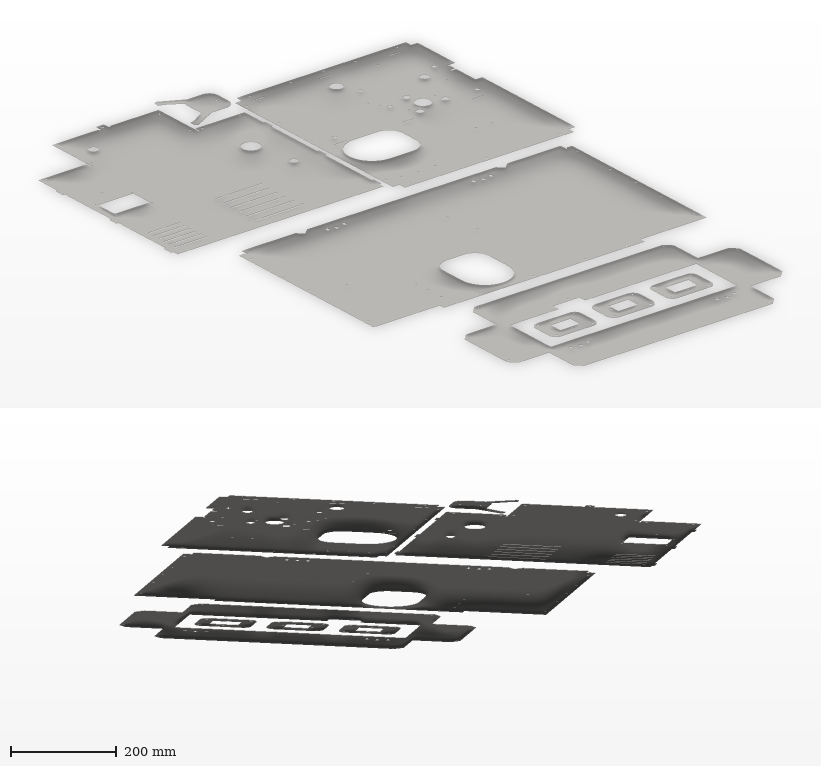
import cadquery as cq

THICKNESS = 1.0
LAYOUT_LENGTH = 1436.89
LAYOUT_DEPTH = 951.57
RIGHT_LIMIT = LAYOUT_LENGTH / 2
LEFT_LIMIT = -RIGHT_LIMIT
BACK_LIMIT = LAYOUT_DEPTH / 2
FRONT_LIMIT = -BACK_LIMIT

SCREW_HOLE = 5.0
RIVET_HOLE = 4.0
PILOT_HOLE = 3.0

HANDLE_WIDTH = 110.0
HANDLE_LENGTH = 146.0
HANDLE_CORNER = 35.0


def sheet(left, right, front, back):
    """Rectangle of sheet between four straight sides."""
    return (
        cq.Workplane("XY")
        .box(right - left, back - front, THICKNESS, centered=False)
        .translate((left, front, 0))
    )


def centered_sheet(x, y, length, depth):
    """Rectangle of sheet around a centre."""
    return sheet(x - length / 2, x + length / 2, y - depth / 2, y + depth / 2)


def polygon(points):
    """Sheet with straight sides through the given points."""
    return cq.Workplane("XY").polyline(points).close().extrude(THICKNESS)


def holes(diameter, centers):
    """Cutters for round holes of one diameter."""
    return cq.Workplane("XY").pushPoints(centers).circle(diameter / 2).extrude(THICKNESS)


def slots(length, width, centers, angle=0):
    """Cutters for round-ended slots of one size."""
    return cq.Workplane("XY").pushPoints(centers).slot2D(length, width, angle).extrude(THICKNESS)


def grid(xs, ys):
    """Every crossing of the given columns and rows."""
    return [(x, y) for x in xs for y in ys]


def handle_opening(tip_x, tip_y, angle):
    """Cutter for the handle opening; its half circle touches the tip and it runs up at angle 0."""
    half = HANDLE_WIDTH / 2
    straight_end = HANDLE_LENGTH - half
    block = sheet(-half, half, 0, straight_end).edges("|Z and >Y").fillet(HANDLE_CORNER)
    opening = block.union(holes(HANDLE_WIDTH, [(0, 0)])).translate((0, half, 0))
    return opening.rotate((0, 0, 0), (0, 0, 1), angle).translate((tip_x, tip_y, 0))


BACK_PANEL_FLANGE = 16.0
BACK_PANEL_LEFT = -621.5
BACK_PANEL_RIGHT = -140.0
BACK_PANEL_FRONT = 53.5
BACK_PANEL_BACK = BACK_LIMIT - BACK_PANEL_FLANGE

CABLE_GAP_LEFT = -508.0
CABLE_GAP_RIGHT = -424.0
CABLE_GAP_RELIEF = 3.0
CABLE_NOTCH_X = -486.0
CABLE_NOTCH_WIDTH = 6.0
CABLE_NOTCH_BOTTOM = 448.5

BACK_FLANGE_HOLE_YS = [433, 333, 255.5, 177.5, 78]
FRONT_FLANGE_HOLE_XS = [-597, -498, -398, -231, -171]
HINGE_SLOT_XS = [-610, -357]
HINGE_SLOT_YS = [413.5, 245, 82.5]
HINGE_SLOT_LENGTH = 30.0
HINGE_SLOT_WIDTH = 3.0
MAIN_OPENING = 35.0
SIDE_OPENING = 28.0
CABLE_OPENING = 20.0
FITTING_HOLE = 16.0
MOUNTING_HOLE = 10.0
BACK_HANDLE_X = -298.5
BACK_HANDLE_TIP_Y = 57.0


def cable_gap():
    """Gap in the back flange with a relief at each corner and a round-bottomed notch."""
    relief_front = BACK_PANEL_BACK - CABLE_GAP_RELIEF
    gap = sheet(CABLE_GAP_LEFT, CABLE_GAP_RIGHT, BACK_PANEL_BACK, BACK_LIMIT)
    for left in (CABLE_GAP_LEFT, CABLE_GAP_RIGHT - CABLE_GAP_RELIEF):
        gap = gap.union(sheet(left, left + CABLE_GAP_RELIEF, relief_front, BACK_LIMIT))
    radius = CABLE_NOTCH_WIDTH / 2
    notch_center_y = CABLE_NOTCH_BOTTOM + radius
    notch = sheet(CABLE_NOTCH_X - radius, CABLE_NOTCH_X + radius, notch_center_y, BACK_LIMIT)
    return gap.union(notch).union(holes(CABLE_NOTCH_WIDTH, [(CABLE_NOTCH_X, notch_center_y)]))


def make_back_panel():
    """Panel with a flange on every side, pierced for fittings and a handle."""
    flange = BACK_PANEL_FLANGE
    panel = sheet(BACK_PANEL_LEFT, BACK_PANEL_RIGHT, BACK_PANEL_FRONT - flange, BACK_LIMIT)
    panel = panel.union(
        sheet(BACK_PANEL_LEFT - flange, BACK_PANEL_RIGHT + flange, BACK_PANEL_FRONT, BACK_PANEL_BACK)
    )
    panel = panel.cut(cable_gap())
    flange_hole_xs = [BACK_PANEL_LEFT - flange / 2, BACK_PANEL_RIGHT + flange / 2]
    panel = panel.cut(holes(SCREW_HOLE, grid(flange_hole_xs, BACK_FLANGE_HOLE_YS)))
    panel = panel.cut(holes(SCREW_HOLE, grid(FRONT_FLANGE_HOLE_XS, [BACK_PANEL_FRONT - flange / 2])))
    hinge_slots = slots(HINGE_SLOT_LENGTH, HINGE_SLOT_WIDTH, grid(HINGE_SLOT_XS, HINGE_SLOT_YS), 90)
    panel = panel.cut(hinge_slots)
    panel = panel.cut(holes(MAIN_OPENING, [(-404.5, 318)]))
    panel = panel.cut(holes(SIDE_OPENING, [(-562.5, 234)]))
    panel = panel.cut(holes(CABLE_OPENING, [(-493.5, 391.5)]))
    panel = panel.cut(holes(FITTING_HOLE, [(-391.5, 361.5), (-441.5, 307.5), (-376.5, 288.5)]))
    mounting_holes = [(-518.5, 435), (-387, 435), (-518.5, 257.5), (-428, 257.5), (-383, 89)]
    panel = panel.cut(holes(MOUNTING_HOLE, mounting_holes))
    screw_holes = [
        (-589, 355),
        (-434, 426),
        (-414, 355),
        (-394, 277),
        (-441, 243),
        (-251, 364),
        (-251, 325),
        (-164, 158),
        (-164, 117),
        (-164, 78),
    ]
    panel = panel.cut(holes(SCREW_HOLE, screw_holes))
    panel = panel.cut(holes(PILOT_HOLE, [(-457, 418), (-463, 232)]))
    return panel.cut(handle_opening(BACK_HANDLE_X, BACK_HANDLE_TIP_Y, 0))


CONTROL_RIGHT = -153.0
CONTROL_BEND_X = -563.0
CONTROL_FLANGE_LEFT = -577.0
CONTROL_TAB_HEIGHT = 4.8
CONTROL_BACK = 24.5
CONTROL_FRONT = FRONT_LIMIT + CONTROL_TAB_HEIGHT
CONTROL_TAB_LENGTH = 21.5
CONTROL_TAB_XS = [-508, -344, -177]

WING_LEFT = -686.0
WING_BACK = -97.0
WING_FRONT = -352.0
WING_MIDDLE_Y = (WING_BACK + WING_FRONT) / 2
WING_HOLE_OFFSET = 118.3
FLANGE_GAP = 4.0

LATCH_Y = -227.5
LATCH_LEFT = -699.0
LATCH_WIDTH = 18.0
LATCH_RECESS_WIDTH = 28.0
LATCH_RECESS_DEPTH = 3.5
LATCH_HOLE_X = -690.5

CONTROL_FLANGE_HOLE_X = -571.0
CONTROL_FLANGE_HOLE_YS = [9, -82, -365.5, -456.5]
WING_HOLE_XS = [-671, -578]
WING_OPENING = 21.6
LARGE_OPENING = 40.0
SMALL_OPENING = 18.8

VENT_COUNT = 6
VENT_WIDTH = 4.4

SOCKET_X = -394.3
SOCKET_Y = -409.5
SOCKET_LENGTH = 52.0
SOCKET_DEPTH = 86.0
SOCKET_CORNER = 4.0
SOCKET_HOLE_X_OFFSET = 30.0
SOCKET_HOLE_Y_OFFSET = 43.5


def vents(first_x, pitch, front, back):
    """Cutters for a row of parallel vent slots."""
    centers = [(first_x + i * pitch, (front + back) / 2) for i in range(VENT_COUNT)]
    return slots(back - front, VENT_WIDTH, centers, 90)


def latch_on_wing(panel):
    """Adds the pierced latch tab, standing in a shallow recess of the wing's side."""
    recess_right = WING_LEFT + LATCH_RECESS_DEPTH
    half_recess = LATCH_RECESS_WIDTH / 2
    half_latch = LATCH_WIDTH / 2
    panel = panel.cut(sheet(WING_LEFT, recess_right, LATCH_Y - half_recess, LATCH_Y + half_recess))
    panel = panel.union(sheet(LATCH_LEFT, recess_right, LATCH_Y - half_latch, LATCH_Y + half_latch))
    return panel.cut(holes(SCREW_HOLE, [(LATCH_HOLE_X, LATCH_Y)]))


def make_control_panel():
    """Vented panel with a wing and two flanges on its left and tabs front and back."""
    panel = sheet(CONTROL_BEND_X, CONTROL_RIGHT, CONTROL_FRONT, CONTROL_BACK)
    panel = panel.union(sheet(WING_LEFT, CONTROL_BEND_X, WING_FRONT, WING_BACK))
    back_flange_front = WING_BACK + FLANGE_GAP
    front_flange_back = WING_FRONT - FLANGE_GAP
    panel = panel.union(sheet(CONTROL_FLANGE_LEFT, CONTROL_BEND_X, back_flange_front, CONTROL_BACK))
    panel = panel.union(sheet(CONTROL_FLANGE_LEFT, CONTROL_BEND_X, CONTROL_FRONT, front_flange_back))
    tab_depth = CONTROL_BACK - CONTROL_FRONT + 2 * CONTROL_TAB_HEIGHT
    middle_y = (CONTROL_BACK + CONTROL_FRONT) / 2
    for x in CONTROL_TAB_XS:
        panel = panel.union(centered_sheet(x, middle_y, CONTROL_TAB_LENGTH, tab_depth))
    panel = latch_on_wing(panel)

    panel = panel.cut(holes(SCREW_HOLE, grid([CONTROL_FLANGE_HOLE_X], CONTROL_FLANGE_HOLE_YS)))
    wing_hole_ys = [WING_MIDDLE_Y - WING_HOLE_OFFSET, WING_MIDDLE_Y + WING_HOLE_OFFSET]
    panel = panel.cut(holes(SCREW_HOLE, grid(WING_HOLE_XS, wing_hole_ys)))
    panel = panel.cut(holes(WING_OPENING, [(-623, -303)]))
    panel = panel.cut(holes(LARGE_OPENING, [(-449.5, -60.5)]))
    panel = panel.cut(holes(SMALL_OPENING, [(-348, -37)]))
    panel = panel.cut(vents(first_x=-303.4, pitch=24.4, front=-262, back=-149))
    panel = panel.cut(vents(first_x=-260.5, pitch=16.3, front=-456, back=-378))
    panel = panel.cut(holes(SCREW_HOLE, [(-186, -144), (-458.5, -411)]))
    socket = centered_sheet(SOCKET_X, SOCKET_Y, SOCKET_LENGTH, SOCKET_DEPTH)
    panel = panel.cut(socket.edges("|Z").fillet(SOCKET_CORNER))
    socket_hole_xs = [SOCKET_X - SOCKET_HOLE_X_OFFSET, SOCKET_X + SOCKET_HOLE_X_OFFSET]
    socket_hole_ys = [SOCKET_Y - SOCKET_HOLE_Y_OFFSET, SOCKET_Y + SOCKET_HOLE_Y_OFFSET]
    return panel.cut(holes(RIVET_HOLE, grid(socket_hole_xs, socket_hole_ys)))


BRACKET_X = -653.0
BRACKET_Y = -4.0
BRACKET_SIZE = 74.0
BRACKET_CORNER = 20.0
BRACKET_HOLE_OFFSET = 20.0


def make_bracket():
    """Round-cornered plate with a splayed leg at each front corner."""
    bracket = centered_sheet(BRACKET_X, BRACKET_Y, BRACKET_SIZE, BRACKET_SIZE)
    bracket = bracket.edges("|Z").fillet(BRACKET_CORNER)
    leg_reach = BRACKET_X - LEFT_LIMIT
    leg = [
        (20, -30),
        (38, -26),
        (leg_reach, -79),
        (60.5, -84.5),
        (49.5, -84.5),
        (46, -73),
        (26, -40),
    ]
    for side in (-1, 1):
        bracket = bracket.union(polygon([(BRACKET_X + side * x, y) for x, y in leg]))
    hole_ys = [BRACKET_Y - BRACKET_HOLE_OFFSET, BRACKET_Y + BRACKET_HOLE_OFFSET]
    return bracket.cut(holes(SCREW_HOLE, grid([BRACKET_X], hole_ys)))


COVER_LEFT = -75.5
COVER_RIGHT = 335.5
COVER_FRONT = -383.0
COVER_BACK = 417.5
COVER_BEND_YS = (-224.0, 258.0)
COVER_LEFT_FLANGE = 13.0
COVER_RIGHT_FLANGE = 13.0
FLANGE_NOTCH_HALF = 14.0
FLANGE_SETBACK = 17.0
RELIEF_HEIGHT = 4.0
RELIEF_DEPTH = 5.0
COVER_EDGE_HOLE_XS = [-48, 52, 130, 208, 308]
COVER_EDGE_HOLE_INSET = 8.2
COVER_FLANGE_HOLE_YS = [221, 121, -4, -177]
COVER_SLOT_LENGTH = 10.0
COVER_SLOT_WIDTH = 7.5
COVER_HANDLE_TIP_X = 329.0
COVER_HANDLE_Y = -67.0


def make_cover():
    """Three-part cover with a notched left flange and a right flange on its middle part."""
    front_bend, back_bend = COVER_BEND_YS
    cover = sheet(COVER_LEFT, COVER_RIGHT, COVER_FRONT, COVER_BACK)
    flange_left = COVER_LEFT - COVER_LEFT_FLANGE
    flange_front = COVER_FRONT + FLANGE_SETBACK
    flange_back = COVER_BACK - FLANGE_SETBACK
    cover = cover.union(sheet(flange_left, COVER_LEFT, flange_front, flange_back))
    for y in COVER_BEND_YS:
        notch = [
            (flange_left, y - FLANGE_NOTCH_HALF),
            (COVER_LEFT, y),
            (flange_left, y + FLANGE_NOTCH_HALF),
        ]
        cover = cover.cut(polygon(notch))
    relief_right = COVER_LEFT + RELIEF_DEPTH
    cover = cover.cut(sheet(COVER_LEFT, relief_right, flange_back, flange_back + RELIEF_HEIGHT))
    cover = cover.cut(sheet(COVER_LEFT, relief_right, flange_front - RELIEF_HEIGHT, flange_front))
    cover = cover.union(sheet(COVER_RIGHT, COVER_RIGHT + COVER_RIGHT_FLANGE, front_bend, back_bend))

    edge_hole_ys = [COVER_FRONT + COVER_EDGE_HOLE_INSET, COVER_BACK - COVER_EDGE_HOLE_INSET]
    cover = cover.cut(holes(SCREW_HOLE, grid(COVER_EDGE_HOLE_XS, edge_hole_ys)))
    right_hole_x = COVER_RIGHT + COVER_RIGHT_FLANGE / 2
    cover = cover.cut(holes(SCREW_HOLE, grid([right_hole_x], COVER_FLANGE_HOLE_YS)))
    hinge_slots = [
        (-64.5, 214),
        (-60.5, 193),
        (-64.5, 173),
        (-64.5, -138.5),
        (-60.5, -160),
        (-64.5, -179),
    ]
    cover = cover.cut(slots(COVER_SLOT_LENGTH, COVER_SLOT_WIDTH, hinge_slots))
    cover = cover.cut(holes(SCREW_HOLE, [(30.5, 35), (108, 45), (155.5, -305)]))
    cover = cover.cut(holes(SCREW_HOLE, grid([230, 269, 308], [-199])))
    return cover.cut(handle_opening(COVER_HANDLE_TIP_X, COVER_HANDLE_Y, 90))


FRAME_FLANGE = 15.0
FRAME_HALF_LENGTH = 168.0
FRAME_X = RIGHT_LIMIT - FRAME_HALF_LENGTH
FRAME_Y = 49.0
FRAME_HALF_DEPTH = 331.0
SIDE_WING_HALF_DEPTH = 242.0
END_WING_HALF_LENGTH = 80.0
WINDOW_HALF_LENGTH = 63.0
WINDOW_HALF_DEPTH = 224.5
WINDOW_NOTCH_FRONT = -58.0
WINDOW_NOTCH_BACK = 6.5
FRAME_HOLE_INSET = 7.5
FRAME_HOLE_END = 4.0
FRAME_HINGE_HOLE = 8.0


def make_frame():
    """Cross of side and end wings, chamfered over their end flanges, around a long window."""
    side_wings = centered_sheet(FRAME_X, FRAME_Y, 2 * FRAME_HALF_LENGTH, 2 * SIDE_WING_HALF_DEPTH)
    end_wings = centered_sheet(FRAME_X, FRAME_Y, 2 * END_WING_HALF_LENGTH, 2 * FRAME_HALF_DEPTH)
    side_wings = side_wings.edges("|Z").chamfer(FRAME_FLANGE)
    end_wings = end_wings.edges("|Z").chamfer(FRAME_FLANGE)
    frame = side_wings.union(end_wings)
    frame = frame.cut(centered_sheet(FRAME_X, FRAME_Y, 2 * WINDOW_HALF_LENGTH, 2 * WINDOW_HALF_DEPTH))
    notch_left = FRAME_X - END_WING_HALF_LENGTH
    frame = frame.cut(sheet(notch_left, FRAME_X, WINDOW_NOTCH_FRONT, WINDOW_NOTCH_BACK))

    along_side = SIDE_WING_HALF_DEPTH - FRAME_FLANGE - FRAME_HOLE_END
    along_end = END_WING_HALF_LENGTH - FRAME_FLANGE - FRAME_HOLE_END
    side = FRAME_HALF_LENGTH - FRAME_HOLE_INSET
    end = FRAME_HALF_DEPTH - FRAME_HOLE_INSET
    flange_holes = grid([FRAME_X - side, FRAME_X + side], [FRAME_Y - along_side, FRAME_Y + along_side])
    flange_holes += grid([FRAME_X - along_end, FRAME_X + along_end], [FRAME_Y - end, FRAME_Y + end])
    frame = frame.cut(holes(RIVET_HOLE, flange_holes))
    hinge_holes = [(638.5, 247), (643, 226), (638.5, 205.5), (638.5, -106), (643, -127), (638.5, -147)]
    frame = frame.cut(holes(FRAME_HINGE_HOLE, hinge_holes))
    return frame.cut(holes(SCREW_HOLE, grid([464], [-15.5, -36.5])))


PLATE_PITCH = 140.0
PLATE_LENGTH = 73.0
END_PLATE_DEPTH = 109.5
END_PLATE_CORNER = 15.0
MIDDLE_PLATE_DEPTH = 111.5
MIDDLE_PLATE_CORNER = 18.0
PLATE_CORNER_HOLE_X = 28.0
PLATE_CORNER_HOLE_Y = 43.5
PLATE_WINDOW_LENGTH = 30.0
LONG_WINDOW_DEPTH = 56.0
SHORT_WINDOW_DEPTH = 48.0
WINDOW_SCREW_X = 20.0
WINDOW_SCREW_Y = 28.5


def make_plate(y, depth, corner, window_depth, window_screw_offsets):
    """Round-cornered plate with a window, four corner holes and two screw holes by the window."""
    plate = centered_sheet(FRAME_X, y, PLATE_LENGTH, depth).edges("|Z").fillet(corner)
    plate = plate.cut(centered_sheet(FRAME_X, y, PLATE_WINDOW_LENGTH, window_depth))
    corner_offsets = grid(
        [-PLATE_CORNER_HOLE_X, PLATE_CORNER_HOLE_X], [-PLATE_CORNER_HOLE_Y, PLATE_CORNER_HOLE_Y]
    )
    centers = [(FRAME_X + dx, y + dy) for dx, dy in corner_offsets + window_screw_offsets]
    return plate.cut(holes(SCREW_HOLE, centers))


beside_window = [(-WINDOW_SCREW_X, 0), (WINDOW_SCREW_X, 0)]
above_and_below_window = [(0, -WINDOW_SCREW_Y), (0, WINDOW_SCREW_Y)]

back_panel = make_back_panel()
control_panel = make_control_panel()
bracket = make_bracket()
cover = make_cover()
frame = make_frame()
plates = [
    make_plate(
        FRAME_Y + PLATE_PITCH, END_PLATE_DEPTH, END_PLATE_CORNER, LONG_WINDOW_DEPTH, beside_window
    ),
    make_plate(
        FRAME_Y, MIDDLE_PLATE_DEPTH, MIDDLE_PLATE_CORNER, SHORT_WINDOW_DEPTH, above_and_below_window
    ),
    make_plate(
        FRAME_Y - PLATE_PITCH, END_PLATE_DEPTH, END_PLATE_CORNER, SHORT_WINDOW_DEPTH, beside_window
    ),
]

result = cq.Compound.makeCompound(
    [
        back_panel.val(),
        control_panel.val(),
        bracket.val(),
        cover.val(),
        frame.val(),
        *[plate.val() for plate in plates],
    ]
)